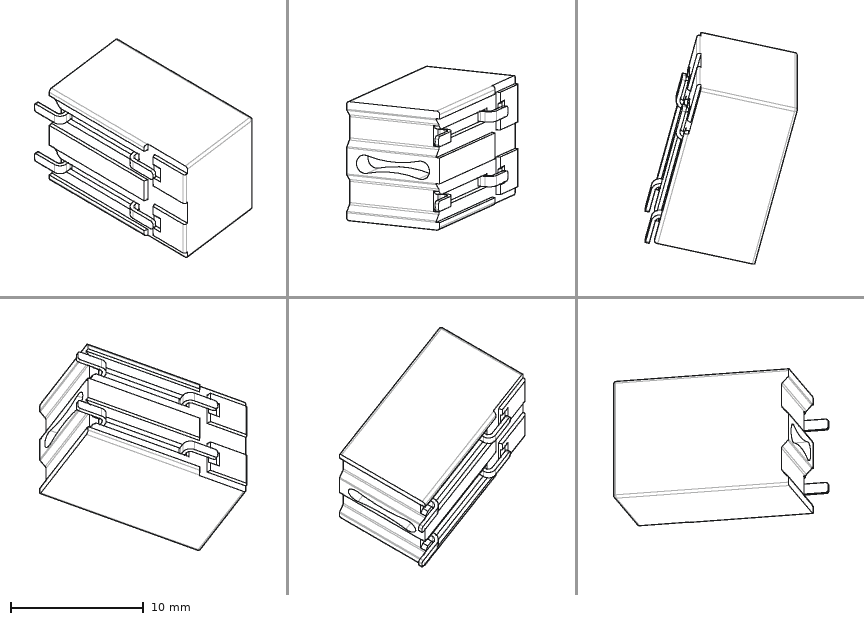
import cadquery as cq
import math

overall_length = 14.7
overall_depth = 8.25
lead_overhang = 1.09
block_length = overall_length - lead_overhang
standoff = 0.45
block_depth = overall_depth - standoff
block_height = 9.2
edge_radius = 0.2
mount_edge_radius = 0.25

lead_pitch = 2.5
sides = (1, -1)

pad_height = 0.3
pad_draft = 0.12
front_pad_end = 9.65
rear_pad_start = 10.3
channel_half = 1.5
rear_pad_half = 1.45

notch_depth = 0.53
notch_floor_half = 0.91
notch_mouth_half = notch_floor_half + notch_depth
notch_floor_radius = 0.22
notch_mouth_radius = 0.13

groove_pitch = 2.53
groove_half = 0.5
groove_depth = 0.45
groove_end = 8.78
groove_flare = 0.3
pocket_end = 11.02
pocket_depth = 0.16

lead_thickness = 0.3
lead_width = 0.8
foot_length = 2.0
rear_foot_start = 8.82
bend_inner = 0.35
leg_straight = 0.38
lead_root = 0.44
front_tip_radius = 0.19
rear_tip_radius = 0.26

recess_depth = 2.0
recess_y = 3.91
recess_z = -0.1
recess_end_radius = 0.7
recess_end_offset = 2.35
recess_waist_half = 0.4


def box(x0, x1, y0, y1, z_middle, z_half):
    """Axis-aligned box from its X and Y limits and a Z middle and half width."""
    solid = cq.Workplane("XY").box(x1 - x0, y1 - y0, 2 * z_half, centered=(False, False, True))
    return solid.translate((x0, y0, z_middle))


def make_block():
    block = box(0, block_length, 0, block_depth, 0, block_height / 2)
    block = block.edges("|X and <Y").fillet(mount_edge_radius)
    return block.edges("(|X and >Y) or >X").fillet(edge_radius)


def pad_relief():
    """Material removed from the mounting side, leaving only the pads."""
    relief = box(0, block_length, 0, pad_height, 0, block_height / 2)
    front_profile = [(0, 0), (front_pad_end - pad_draft, 0), (front_pad_end, pad_height), (0, pad_height)]
    front_pads = cq.Workplane("XY").polyline(front_profile).close().extrude(block_height / 2, both=True)
    for side in sides:
        front_pads = front_pads.cut(box(0, front_pad_end, 0, pad_height, side * lead_pitch, channel_half))
    relief = relief.cut(front_pads)

    rear_profile = [
        (rear_pad_start + pad_draft, 0),
        (block_length, 0),
        (block_length, pad_height),
        (rear_pad_start, pad_height),
    ]
    rear_pad = cq.Workplane("XY").polyline(rear_profile).close().extrude(rear_pad_half, both=True)
    for side in sides:
        relief = relief.cut(rear_pad.translate((0, 0, side * lead_pitch)))
    return relief


def end_notch(z_middle):
    """Channel with sloped, rounded sides across the -X end."""
    lip = 0.74
    margin = 0.01
    profile = [
        (-lip, -notch_mouth_half - lip),
        (-lip, notch_mouth_half + lip),
        (0, notch_mouth_half + lip),
        (0, notch_mouth_half),
        (notch_depth, notch_floor_half),
        (notch_depth, -notch_floor_half),
        (0, -notch_mouth_half),
        (0, -notch_mouth_half - lip),
    ]
    points = [(x, z_middle + z) for x, z in profile]
    notch = cq.Workplane("XZ").polyline(points).close().extrude(-block_depth)
    notch = notch.edges("|Y and >X").fillet(notch_floor_radius)
    mouth = cq.selectors.BoxSelector(
        (-margin, 0, z_middle - notch_mouth_half - margin),
        (margin, block_depth, z_middle + notch_mouth_half + margin),
    )
    return notch.edges("|Y").edges(mouth).fillet(notch_mouth_radius)


def lead_groove(z_middle):
    """Groove under the leads, flared where it opens into the end channel."""
    flare_end = notch_depth + groove_flare
    mouth_half = groove_half + flare_end
    profile = [
        (0, mouth_half),
        (flare_end, groove_half),
        (groove_end, groove_half),
        (groove_end, -groove_half),
        (flare_end, -groove_half),
        (0, -mouth_half),
    ]
    points = [(x, z_middle + z) for x, z in profile]
    groove = cq.Workplane("XZ").polyline(points).close().extrude(-groove_depth)
    return groove.translate((0, pad_height, 0))


def pad_pocket(z_middle):
    """Shallow pocket with sloped walls in the rear pad, around the lead tip."""
    floor_length = 2 * (pocket_end - rear_pad_start)
    floor_width = 2 * groove_half
    growth = 2 * pocket_depth
    return (
        cq.Workplane("XZ", origin=(rear_pad_start, pocket_depth, z_middle))
        .rect(floor_length, floor_width)
        .workplane(offset=pocket_depth)
        .rect(floor_length + growth, floor_width + growth)
        .loft(ruled=True)
    )


def bone_recess():
    """Two end circles joined by inward-curving sides tangent to both."""
    end = recess_end_offset
    end_radius = recess_end_radius
    waist = recess_waist_half
    side_radius = (end**2 + waist**2 - end_radius**2) / (2 * (end_radius - waist))
    touch = end_radius / (end_radius + side_radius)
    join_y = end * (1 - touch)
    join_z = (side_radius + waist) * touch
    tip = end + end_radius
    outline = (
        cq.Workplane("YZ", origin=(0, recess_y, recess_z))
        .moveTo(-join_y, join_z)
        .threePointArc((0, waist), (join_y, join_z))
        .threePointArc((tip, 0), (join_y, -join_z))
        .threePointArc((0, -waist), (-join_y, -join_z))
        .threePointArc((-tip, 0), (-join_y, join_z))
        .close()
    )
    return outline.extrude(recess_depth)


def make_lead(tip_radius):
    """Double-bent lead with its tip at X = 0 and its root toward +X, middle at Z = 0."""
    bend_mean = bend_inner + lead_thickness / 2
    diagonal = bend_mean * math.sqrt(0.5)
    foot_y = lead_thickness / 2 - standoff
    first_y = foot_y + bend_mean
    second_y = first_y + leg_straight
    leg_x = foot_length + bend_mean
    root_x = leg_x + bend_mean
    root_y = second_y + bend_mean
    path = (
        cq.Workplane("XY")
        .moveTo(0, foot_y)
        .lineTo(foot_length, foot_y)
        .threePointArc((foot_length + diagonal, first_y - diagonal), (leg_x, first_y))
        .lineTo(leg_x, second_y)
        .threePointArc((root_x - diagonal, second_y + diagonal), (root_x, root_y))
        .lineTo(root_x + lead_root, root_y)
    )
    section = cq.Workplane("YZ", origin=(0, foot_y, 0)).rect(lead_thickness, lead_width)
    return section.sweep(path).edges("|Y and <X").fillet(tip_radius)


front_lead = make_lead(front_tip_radius).translate((-lead_overhang, 0, 0))
rear_lead = make_lead(rear_tip_radius).mirror("YZ").translate((rear_foot_start + foot_length, 0, 0))

result = make_block().cut(pad_relief()).cut(bone_recess())
for side in sides:
    result = result.cut(end_notch(side * lead_pitch))
    result = result.cut(lead_groove(side * groove_pitch))
    result = result.cut(pad_pocket(side * groove_pitch))
for side in sides:
    for lead in (front_lead, rear_lead):
        result = result.union(lead.translate((0, 0, side * lead_pitch)))